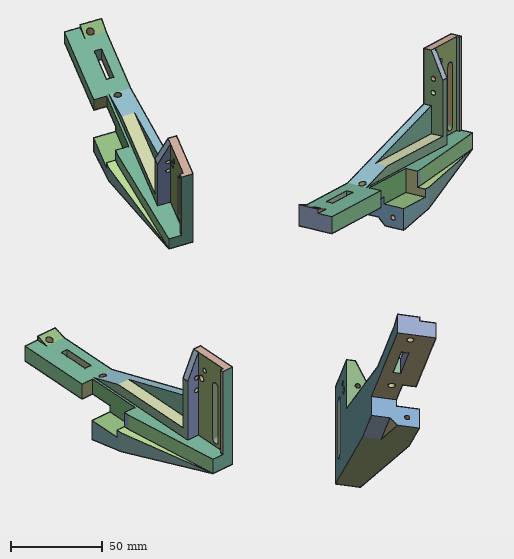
import cadquery as cq
import math


total_length = 149.9
total_depth = 27.0
total_height = 81.81
top_z = 55.0
bottom_z = top_z - total_height

arm_length = 48.3
arm_depth = 21.7
arm_thickness = 10.0
arm_slot_start = 17.6
arm_slot_length = 20.0
arm_slot_width = 4.2

foot_length = 7.8
foot_height = 2.5

arm_hole_diameter = 4.0
arm_hole_depth_y = 8.4
foot_hole_x = 5.1
arm_hole_x = 50.0

upright_x = 122.8
frame_depth = 12.6
plate_thickness = 5.0
left_lip_width = 4.1
left_lip_taper_start_z = 39.0
right_lip_width = 2.2
right_lip_depth = 6.9
ledge_height = 6.1
web_start_x = 47.8
web_top_z = 22.5

small_hole_diameter = 2.8
small_hole_x = 132.2
small_hole_z = 45.5
large_hole_diameter = 3.8
large_hole_x = 129.6
large_hole_z = 39.0
upright_slot_x = 141.3
upright_slot_width = 4.6
upright_slot_bottom_z = 1.9
upright_slot_top_z = 42.1
lip_hole_diameter = 2.8
lip_hole_depth_y = 6.3
lip_hole_heights = (30.3, 38.5)

beam_start_x = 62.8
beam_end_x = total_length
beam_core_depth = 14.1
beam_end_z = -9.6
lower_block_top_z = -9.4
back_bottom_z = -22.6
chamfer_back_depth = 10.4
chamfer_front_depth = 14.6
taper_start_x = 87.7

pocket_end_x = 84.1
pocket_floor_z = -14.1

block_hole_diameter = 2.8
block_hole_depth = 10.0
block_hole_depth_y = 20.0
block_hole_z = -20.8
drill_point_angle = 118.0


def box(x_min, x_max, depth_min, depth_max, z_min, z_max):
    """Block between two X values, two depths from the back and two heights."""
    size = (x_max - x_min, depth_max - depth_min, z_max - z_min)
    return cq.Workplane("XY").box(*size, centered=False).translate((x_min, -depth_max, z_min))


def side_profile(points, depth):
    """XZ outline extruded forward from the back face."""
    return cq.Workplane("XZ").polyline(points).close().extrude(depth)


def plan_profile(points, z_min, z_max):
    """XY outline extruded between two heights."""
    return cq.Workplane("XY", origin=(0, 0, z_min)).polyline(points).close().extrude(z_max - z_min)


def hole_along_y(x, z, diameter):
    return cq.Workplane("XZ").center(x, z).circle(diameter / 2).extrude(total_depth)


def hole_along_z(x, diameter):
    plane = cq.Workplane("XY", origin=(0, 0, bottom_z))
    return plane.center(x, -arm_hole_depth_y).circle(diameter / 2).extrude(total_height)


def hole_along_x(x_start, depth_y, z, diameter, length):
    plane = cq.Workplane("YZ", origin=(x_start, 0, 0))
    return plane.center(-depth_y, z).circle(diameter / 2).extrude(length)


def make_arm():
    bar = box(0, arm_length, 0, arm_depth, -arm_thickness, 0)
    core = box(arm_length, beam_start_x, 0, beam_core_depth, -arm_thickness, 0)
    foot = side_profile([(0, 0), (foot_length, 0), (0, foot_height)], frame_depth)
    slot_end = arm_slot_start + arm_slot_length
    slot_back = arm_hole_depth_y - arm_slot_width / 2
    slot_front = arm_hole_depth_y + arm_slot_width / 2
    slot = box(arm_slot_start, slot_end, slot_back, slot_front, -arm_thickness, 0)
    return bar.union(core).union(foot).cut(slot)


def make_web_and_ledge():
    web = side_profile([(web_start_x, 0), (upright_x, 0), (upright_x, web_top_z)], frame_depth)
    recess = box(0, upright_x, plate_thickness, frame_depth, ledge_height, top_z)
    return web.cut(recess)


def make_upright():
    plate = box(upright_x, total_length, 0, plate_thickness, 0, top_z)
    right_lip = box(total_length - right_lip_width, total_length, 0, right_lip_depth, 0, top_z)
    lip_outline = [
        (0, 0),
        (-frame_depth, 0),
        (-frame_depth, left_lip_taper_start_z),
        (-plate_thickness, top_z),
        (0, top_z),
    ]
    left_lip = cq.Workplane("YZ", origin=(upright_x, 0, 0)).polyline(lip_outline).close()
    upright = plate.union(right_lip).union(left_lip.extrude(left_lip_width))

    upright = upright.cut(hole_along_y(small_hole_x, small_hole_z, small_hole_diameter))
    upright = upright.cut(hole_along_y(large_hole_x, large_hole_z, large_hole_diameter))
    slot_length = upright_slot_top_z - upright_slot_bottom_z
    slot_middle_z = (upright_slot_top_z + upright_slot_bottom_z) / 2
    slot = cq.Workplane("XZ").center(upright_slot_x, slot_middle_z)
    upright = upright.cut(slot.slot2D(slot_length, upright_slot_width, 90).extrude(total_depth))
    for z in lip_hole_heights:
        upright = upright.cut(
            hole_along_x(upright_x, lip_hole_depth_y, z, lip_hole_diameter, left_lip_width)
        )
    return upright


def tapered_plan(front_depth):
    """Beam outline seen from above: straight front, then narrowing to the far end."""
    return [
        (beam_start_x, 0),
        (beam_start_x, -front_depth),
        (taper_start_x, -front_depth),
        (beam_end_x, -beam_core_depth),
        (beam_end_x, 0),
    ]


def make_beam():
    upper = plan_profile(tapered_plan(arm_depth), bottom_z, 0)
    lower = plan_profile(tapered_plan(total_depth), bottom_z, lower_block_top_z)
    beam = upper.union(lower)

    section = [
        (0, 0),
        (-total_depth, 0),
        (-total_depth, bottom_z),
        (-chamfer_front_depth, bottom_z),
        (-chamfer_back_depth, back_bottom_z),
        (0, back_bottom_z),
    ]
    envelope = cq.Workplane("YZ", origin=(beam_start_x, 0, 0)).polyline(section).close()
    beam = beam.intersect(envelope.extrude(beam_end_x - beam_start_x))

    sloped_side = [
        (beam_start_x, bottom_z),
        (beam_end_x, beam_end_z),
        (beam_end_x, 0),
        (beam_start_x, 0),
    ]
    beam = beam.intersect(side_profile(sloped_side, total_depth))
    return beam.cut(box(beam_start_x, pocket_end_x, beam_core_depth, total_depth, pocket_floor_z, 0))


def make_block_hole():
    radius = block_hole_diameter / 2
    tip_length = radius / math.tan(math.radians(drill_point_angle / 2))
    outline = [(0, 0), (0, radius), (block_hole_depth, radius), (block_hole_depth + tip_length, 0)]
    drill = cq.Workplane("XY").polyline(outline).close().revolve(360, (0, 0, 0), (1, 0, 0))
    return drill.translate((beam_start_x, -block_hole_depth_y, block_hole_z))


result = make_arm().union(make_beam()).union(make_web_and_ledge()).union(make_upright())
for hole_x in (foot_hole_x, arm_hole_x):
    result = result.cut(hole_along_z(hole_x, arm_hole_diameter))
result = result.cut(make_block_hole())